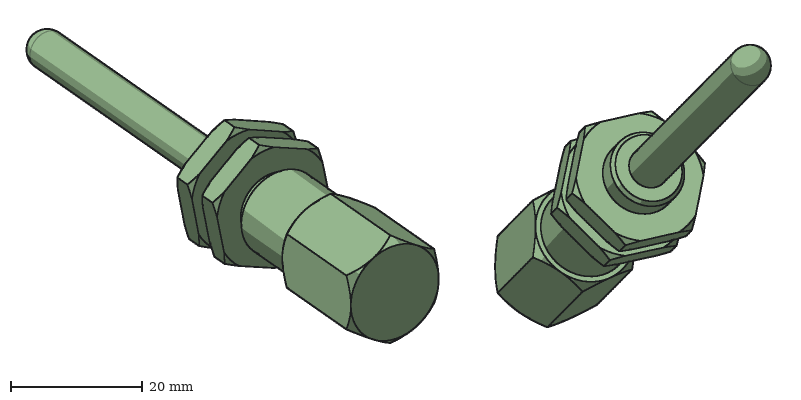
import cadquery as cq
import math

OVERALL_LENGTH = 99.6
TIP_X = -OVERALL_LENGTH / 2
END_X = OVERALL_LENGTH / 2

PIN_RADIUS = 3.2
SLEEVE_RADIUS = 6.0
SLEEVE_LENGTH = 17.1
SLEEVE_CHAMFER = 0.6
BARREL_RADIUS = 7.2
BARREL_LENGTH = 12.6
HEAD_ACROSS_FLATS = 16.0
HEAD_CORNER_RADIUS = HEAD_ACROSS_FLATS / 2 / math.cos(math.radians(30))
HEAD_LENGTH = 19.0
HEAD_CHAMFER_ANGLE = 45.0

HEAD_X = END_X - HEAD_LENGTH
BARREL_X = HEAD_X - BARREL_LENGTH
SLEEVE_X = BARREL_X - SLEEVE_LENGTH

NUT_CORNER_RADIUS = 11.4
NUT_THICKNESS = 4.0
NUT_FACE_RADIUS = 10.4
NUT_CHAMFER_ANGLE = 30.0
FRONT_NUT_OFFSET = 4.2
NUT_PITCH = 7.0
NUT_TURNS = (10.8, 11.3)



def axial_cylinder(start_x, length, radius):
    return cq.Workplane("YZ", origin=(start_x, 0, 0)).circle(radius).extrude(length)


def chamfered_hexagon(start_x, length, corner, face_radius, chamfer_angle):
    """Hexagonal prism along X with corners at +Z and -Z, cut by a cone at each end."""
    chamfer_depth = (corner - face_radius) * math.tan(math.radians(chamfer_angle))
    end_x = start_x + length
    prism = (
        cq.Workplane("YZ", origin=(start_x, 0, 0))
        .transformed(rotate=(0, 0, 90))
        .polygon(6, 2 * corner)
        .extrude(length)
    )
    turned_blank = (
        cq.Workplane("XY")
        .moveTo(start_x, 0)
        .lineTo(start_x, face_radius)
        .lineTo(start_x + chamfer_depth, corner)
        .lineTo(end_x - chamfer_depth, corner)
        .lineTo(end_x, face_radius)
        .lineTo(end_x, 0)
        .close()
        .revolve(360, (0, 0, 0), (1, 0, 0))
    )
    return prism.intersect(turned_blank)


def make_plunger_body():
    nose_x = TIP_X + PIN_RADIUS
    nose = cq.Workplane("XY").sphere(PIN_RADIUS).translate((nose_x, 0, 0))
    pin = axial_cylinder(nose_x, SLEEVE_X - nose_x, PIN_RADIUS)
    sleeve = axial_cylinder(SLEEVE_X, SLEEVE_LENGTH, SLEEVE_RADIUS)
    sleeve = sleeve.faces("<X").chamfer(SLEEVE_CHAMFER)
    barrel = axial_cylinder(BARREL_X, BARREL_LENGTH, BARREL_RADIUS)
    head = chamfered_hexagon(
        HEAD_X, HEAD_LENGTH, HEAD_CORNER_RADIUS, HEAD_ACROSS_FLATS / 2, HEAD_CHAMFER_ANGLE
    )
    return nose.union(pin).union(sleeve).union(barrel).union(head)


def make_lock_nut(start_x, turn):
    nut = chamfered_hexagon(
        start_x, NUT_THICKNESS, NUT_CORNER_RADIUS, NUT_FACE_RADIUS, NUT_CHAMFER_ANGLE
    )
    nut = nut.rotate((0, 0, 0), (1, 0, 0), turn)
    bore = axial_cylinder(start_x, NUT_THICKNESS, SLEEVE_RADIUS)
    return nut.cut(bore)


plunger_body = make_plunger_body()

lock_nuts = []
for index, turn in enumerate(NUT_TURNS):
    nut_x = SLEEVE_X + FRONT_NUT_OFFSET + index * NUT_PITCH
    lock_nuts.append(make_lock_nut(nut_x, turn))

result = cq.Compound.makeCompound([plunger_body.val(), *[nut.val() for nut in lock_nuts]])